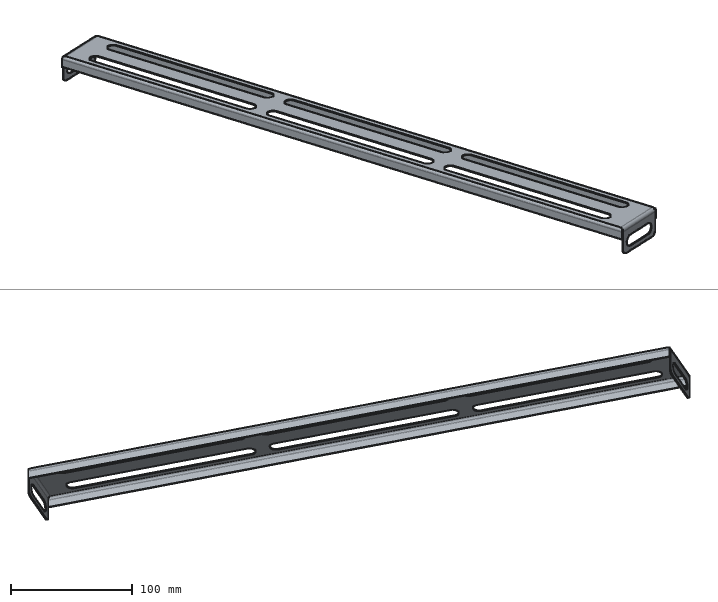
import cadquery as cq

length = 562.0
width = 49.5
height = 25.0

thickness = 1.0
bend_radius = 3 * thickness
inner_radius = bend_radius - thickness

side_height = 10.0
side_end_gap = 0.5
tab_width = 46.0
tab_corner_radius = 4.5

slot_width = 10.0
slot_row_spacing = 25.5
slots_per_row = 3
slot_end_margin = 21.0
slot_gap = 13.0
slot_length = (length - 2 * slot_end_margin - (slots_per_row - 1) * slot_gap) / slots_per_row
slot_pitch = slot_length + slot_gap
tab_slot_length = 35.5
tab_slot_depth = 15.0


def rounded_block(plane, span, depth, run, inset, radius):
    """Block below Z = 0, inset from the part's faces, with its two top bend edges rounded."""
    block = (
        cq.Workplane(plane)
        .center(0, -(depth + inset) / 2)
        .rect(span - 2 * inset, depth - inset)
        .extrude(run / 2, both=True)
    )
    bend_axis = "|X" if plane == "YZ" else "|Y"
    return block.faces(">Z").edges(bend_axis).fillet(radius)


def channel(plane, span, depth, run):
    """Folded U channel, open downward, with its top face at Z = 0."""
    outside = rounded_block(plane, span, depth, run, 0, bend_radius)
    inside = rounded_block(plane, span, depth, run, thickness, inner_radius)
    return outside.cut(inside)


def side_channel():
    """Top plate with the side flanges, their ends trimmed to follow the end bends."""
    flanges = channel("YZ", width, side_height, length - 2 * side_end_gap)
    end_bend_envelope = rounded_block("XZ", length, height, width, 0, bend_radius)
    return flanges.intersect(end_bend_envelope)


def end_channel():
    """Top plate with the two end tabs, rounded at their lower corners."""
    tabs = channel("XZ", length, height, tab_width)
    return tabs.faces("<Z").edges("|X").edges("<Y or >Y").fillet(tab_corner_radius)


def top_slots():
    """Cutters for both rows of slots in the top plate."""
    return (
        cq.Workplane("XY")
        .rarray(slot_pitch, slot_row_spacing, slots_per_row, 2)
        .slot2D(slot_length, slot_width)
        .extrude(-bend_radius)
    )


def tab_slots():
    """One cutter passing through the slots of both end tabs."""
    return (
        cq.Workplane("YZ")
        .center(0, -tab_slot_depth)
        .slot2D(tab_slot_length, slot_width)
        .extrude(length, both=True)
    )


end_tabs = end_channel().cut(tab_slots())
folded_sheet = side_channel().union(end_tabs)
result = folded_sheet.cut(top_slots()).translate((0, 0, height / 2))